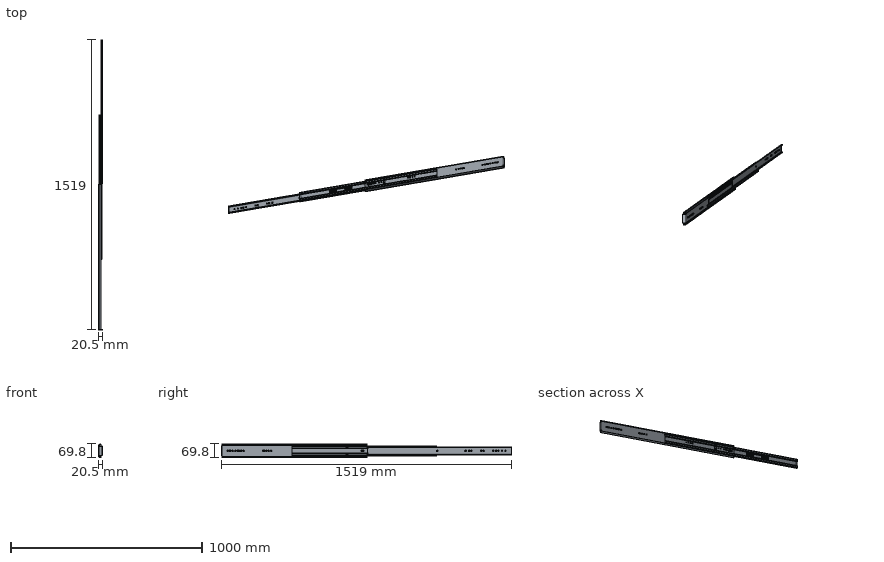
import cadquery as cq
import math


total_width = 20.5
total_length = 1519.0
total_height = 69.78

small_hole = 4.7
large_hole = 6.4
slot_length = 12.0

outer_thickness = 2.0
outer_end = 762.0
outer_half = total_height / 2
bend_radius = 2.4
corner_start_z = 29.5
crest_x = 9.5
lip_x = 13.8
lip_z = 33.2
corner_x = 2 * crest_x - lip_x
corner_z = lip_z
end_plate_height = 49.0
end_plate_chamfer = 2.4

outer_small_holes = [32.0, 59.4, 73.2, 116.4, 235.6, 247.0, 260.8, 488.9, 501.0, 526.0]
outer_small_holes += [672.6, 686.3, 704.6, 727.5, 750.3]
outer_large_holes = [102.9, 514.7, 716.0]
access_slot_y = 738.9
outer_slots = [43.4, 89.2, 221.9, access_slot_y]

window_y = 656.6
window_length = 10.0
window_height = 33.0
tongue_width = 3.0
tongue_length = 11.5

middle_thickness = 1.8
middle_start = 369.0
middle_end = 1125.0
middle_half = 26.0
middle_band_x = 3.2
middle_web_x = 6.0
joggle_inner_z = 11.5
joggle_outer_z = 14.2
middle_corner_width = 4.8
middle_corner_height = 2.4
middle_bend_x = 12.0
middle_lip_x = 18.8
middle_lip_drop = 2.2
middle_lip_cut = 3.0
access_slot_clearance = 2.0
dimple_y = 1118.7
dimple_radius = 4.75
dimple_sphere = 18.0

inner_thickness = 2.4
inner_start = 766.0
inner_half = 20.6
inner_lip_x = 12.0
inner_corner = 3.0
inner_small_holes = [32.0, 50.3, 68.6, 96.0, 146.4, 210.5, 388.9]
inner_large_holes = [80.9, 158.6, 222.0, 241.0]

latch_y = 899.0
latch_half_length = 61.5
pad_length = 35.5
pad_height = 17.6
nose_radius = 3.0
bar_thickness = 2.6
groove_count = 8
groove_width = 2.0
groove_depth = 0.9
latch_hole = 11.0
latch_hole_y = 857.9


def extrude_section(section, start, end):
    """Extrude an X-Z outline along +Y from start to end."""
    return section.close().extrude(-(end - start)).translate((0, start, 0))


def box_between(x0, x1, y0, y1, z0, z1):
    """Box given by its two limits along each axis."""
    return cq.Workplane("XY").box(x1 - x0, y1 - y0, z1 - z0, centered=False).translate((x0, y0, z0))


def holes(y_positions, diameter):
    """Cutters along X, on the centre line of the rails."""
    points = [(y, 0) for y in y_positions]
    return cq.Workplane("YZ").pushPoints(points).circle(diameter / 2).extrude(total_width)


def slots(y_positions, length, height):
    """Slot cutters along X, with their long side along Y."""
    points = [(y, 0) for y in y_positions]
    return cq.Workplane("YZ").pushPoints(points).slot2D(length, height).extrude(total_width)


def outer_section():
    t = outer_thickness
    upper = [(corner_x, corner_z), (crest_x, outer_half), (lip_x, lip_z)]
    inner = [(x, z - t) for x, z in upper]
    bend_z = corner_start_z - t / 2
    section = cq.Workplane("XZ").moveTo(0, -corner_start_z).lineTo(0, corner_start_z)
    section = section.lineTo(*upper[0]).threePointArc(upper[1], upper[2])
    section = section.lineTo(*inner[2]).threePointArc(inner[1], inner[0]).lineTo(t, bend_z)
    section = section.lineTo(t, -bend_z).lineTo(inner[0][0], -inner[0][1])
    section = section.threePointArc((inner[1][0], -inner[1][1]), (inner[2][0], -inner[2][1]))
    section = section.lineTo(lip_x, -lip_z)
    return section.threePointArc((crest_x, -outer_half), (corner_x, -corner_z))


def end_plate():
    """Plate across the -Y end, joined to the web by a rounded bend."""
    t = outer_thickness
    inner_radius = bend_radius - t
    profile = cq.Workplane("XY", origin=(0, 0, -end_plate_height / 2)).moveTo(0, bend_radius)
    profile = profile.radiusArc((bend_radius, 0), -bend_radius)
    profile = profile.lineTo(total_width, 0).lineTo(total_width, t).lineTo(bend_radius, t)
    profile = profile.radiusArc((t, bend_radius), inner_radius)
    plate = profile.close().extrude(end_plate_height)
    return plate.edges("|Y and >X").chamfer(end_plate_chamfer)


def tongue_window():
    """H-shaped cutter that leaves a tongue at the top and the bottom of the window."""
    half = window_height / 2
    cutter = box_between(
        0, outer_thickness, window_y - window_length / 2, window_y + window_length / 2, -half, half
    )
    for base in (-half, half - tongue_length):
        tongue = box_between(
            0, outer_thickness, window_y - tongue_width / 2, window_y + tongue_width / 2,
            base, base + tongue_length,
        )
        cutter = cutter.cut(tongue)
    return cutter


def make_outer_rail():
    rail = extrude_section(outer_section(), bend_radius, outer_end)
    rail = rail.union(end_plate())
    rail = rail.cut(holes(outer_small_holes, small_hole))
    rail = rail.cut(holes(outer_large_holes, large_hole))
    rail = rail.cut(slots(outer_slots, slot_length, small_hole))
    return rail.cut(tongue_window())


def latch_pad(side):
    """Pad that fills a window of the middle web; its round nose points to the latch centre."""
    far = latch_y + side * latch_half_length
    near = far - side * pad_length
    x0 = middle_web_x
    x1 = x0 + middle_thickness
    half = pad_height / 2
    pad = box_between(x0, x1, min(near, far), max(near, far), -half, half)
    nose = cq.Workplane("YZ", origin=(x0, near, 0)).circle(nose_radius).extrude(middle_thickness)
    return pad.union(nose)


def middle_section():
    """Joggled web with two side bands, and flanges that lean inward at their lips."""
    t = middle_thickness
    lip_z_outside = middle_half - middle_lip_drop
    inner_corner_z = middle_half - middle_corner_height
    band_in = middle_band_x + t
    web_in = middle_web_x + t
    half_points = [
        (middle_web_x, joggle_inner_z),
        (middle_band_x, joggle_outer_z),
        (middle_band_x, inner_corner_z),
        (middle_band_x + middle_corner_width, middle_half),
        (middle_bend_x, middle_half),
        (middle_lip_x, lip_z_outside),
        (middle_lip_x, lip_z_outside - t),
        (middle_bend_x, middle_half - t),
        (middle_band_x + middle_corner_width, middle_half - t),
        (band_in, inner_corner_z),
        (band_in, joggle_outer_z + t / 2),
        (web_in, joggle_inner_z + t / 2),
    ]
    mirrored = [(x, -z) for x, z in reversed(half_points)]
    return cq.Workplane("XZ").polyline(half_points + mirrored)


def web_dimple():
    """Shallow round dome on the cabinet side of the web."""
    base_distance = math.sqrt(dimple_sphere**2 - dimple_radius**2)
    sphere = cq.Workplane("XY").sphere(dimple_sphere)
    sphere = sphere.translate((middle_web_x + base_distance, dimple_y, 0))
    cylinder = cq.Workplane("YZ").center(dimple_y, 0).circle(dimple_radius)
    return cylinder.extrude(middle_web_x + middle_thickness / 2).intersect(sphere)


def rear_lip_relief():
    """Cutter that shortens both lips at the -Y end of the rail."""
    return box_between(
        middle_lip_x - middle_lip_cut, middle_lip_x, middle_start, middle_start + middle_lip_cut,
        -middle_half, middle_half,
    )


def make_middle_rail():
    rail = extrude_section(middle_section(), middle_start, middle_end)
    rail = rail.union(web_dimple())
    rail = rail.cut(rear_lip_relief())
    access = slots(
        [access_slot_y], slot_length + access_slot_clearance, small_hole + access_slot_clearance
    )
    rail = rail.cut(access)
    for side in (-1, 1):
        rail = rail.cut(latch_pad(side))
    return rail


def make_inner_rail():
    """Channel that opens toward the cabinet side."""
    t = inner_thickness
    rail = box_between(inner_lip_x, total_width, inner_start, total_length, -inner_half, inner_half)
    rail = rail.edges("|Y and >X").fillet(inner_corner)
    channel_half = inner_half - t
    channel = box_between(
        inner_lip_x, total_width - t, inner_start, total_length, -channel_half, channel_half
    )
    rail = rail.cut(channel)
    rail = rail.cut(holes([total_length - d for d in inner_small_holes], small_hole))
    return rail.cut(holes([total_length - d for d in inner_large_holes], large_hole))


def pad_grooves(side):
    """Grip grooves across a pad, evenly spaced along its length."""
    start = latch_y + side * latch_half_length
    pitch = pad_length / groove_count
    cutters = cq.Workplane("XY")
    for i in range(groove_count):
        y = start - side * (i + 0.5) * pitch
        groove = box_between(
            middle_web_x, middle_web_x + groove_depth, y - groove_width / 2, y + groove_width / 2,
            -pad_height / 2, pad_height / 2,
        )
        cutters = cutters.add(groove)
    return cutters.combine()


def make_latch():
    back = middle_web_x + middle_thickness
    half = pad_height / 2
    latch = box_between(
        back, back + bar_thickness, latch_y - latch_half_length, latch_y + latch_half_length, -half, half
    )
    for side in (-1, 1):
        latch = latch.union(latch_pad(side)).cut(pad_grooves(side))
    return latch.cut(holes([latch_hole_y], latch_hole))


outer_rail = make_outer_rail()
middle_rail = make_middle_rail()
inner_rail = make_inner_rail()
latch = make_latch()

bodies = [outer_rail, middle_rail, inner_rail, latch]
result = cq.Compound.makeCompound([body.solids().val() for body in bodies])